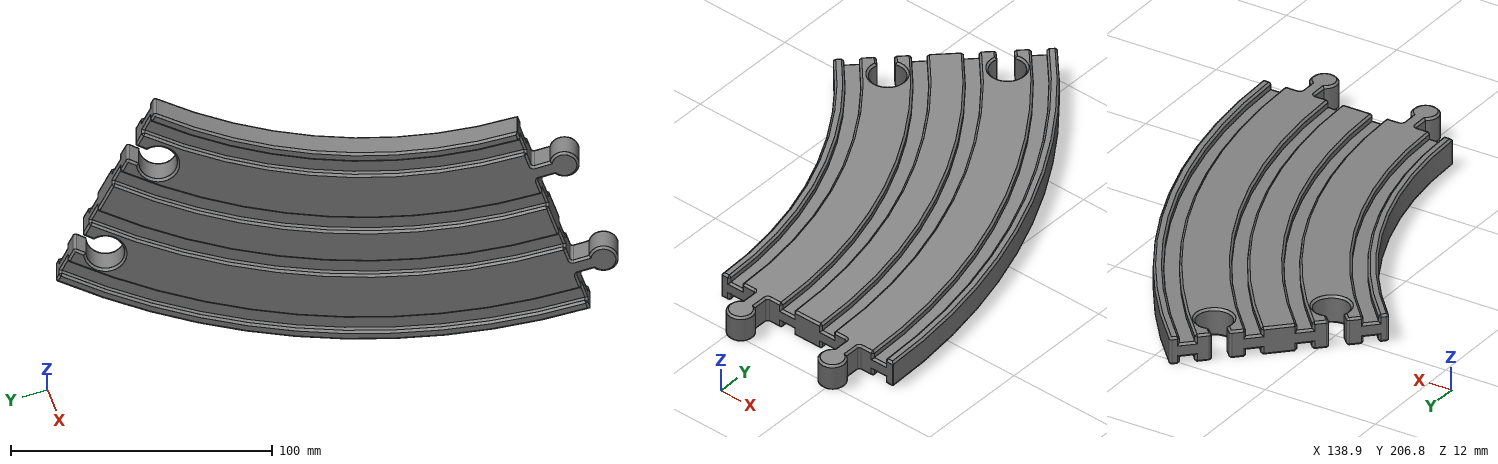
import cadquery as cq
import math

inner_radius = 182.0
lane_width = 40.0
lane_gap = 6.0
sweep_angle = 45.0
height = 12.0

outer_radius = inner_radius + 2 * lane_width + lane_gap
lane_radii = [
    inner_radius + lane_width / 2,
    outer_radius - lane_width / 2,
]

groove_width = 6.0
groove_depth = 3.0
groove_offset = 13.0

peg_reach = 12.1
peg_head_radius = 5.65
peg_neck_width = 6.0

socket_reach = 11.45
socket_hole_radius = 7.4
socket_mouth_width = 7.0

corner_radius = 1.0
edge_chamfer = 0.9
start_corner_chamfer = 0.3

neck_overlap = 1.0
tolerance = 0.001


def ring_sector(small_radius, large_radius, bottom, thickness):
    """Ring sector with a rectangular section, starting on the +X axis."""
    profile = (
        cq.Workplane("XZ")
        .moveTo((small_radius + large_radius) / 2, bottom + thickness / 2)
        .rect(large_radius - small_radius, thickness)
    )
    return profile.revolve(sweep_angle, (0, 0, 0), (0, 1, 0))


def keyhole(lane_radius, reach, head_radius, neck_width):
    """Round head on a straight neck that points along -Y from the face at y = 0."""
    head = cq.Workplane("XY").center(lane_radius, -reach).circle(head_radius).extrude(height)
    neck = (
        cq.Workplane("XY")
        .center(lane_radius, (neck_overlap - reach) / 2)
        .rect(neck_width, reach + neck_overlap)
        .extrude(height)
    )
    return head.union(neck)


def on_start_face(edge):
    return abs(edge.Center().y) < tolerance


def on_far_face(edge):
    center = edge.Center()
    angle = math.radians(sweep_angle)
    distance = center.y * math.cos(angle) - center.x * math.sin(angle)
    return abs(distance) < tolerance


def on_track_side(edge):
    """True for upright edges on the inner or the outer curved wall."""
    center = edge.Center()
    radius = math.hypot(center.x, center.y)
    return min(abs(radius - inner_radius), abs(radius - outer_radius)) < edge_chamfer


def track_body():
    """Plain track with its sockets and pegs."""
    body = ring_sector(inner_radius, outer_radius, 0, height)
    for lane_radius in lane_radii:
        socket = keyhole(lane_radius, socket_reach, socket_hole_radius, socket_mouth_width)
        body = body.cut(socket.rotate((0, 0, 0), (0, 0, 1), sweep_angle))
        body = body.union(keyhole(lane_radius, peg_reach, peg_head_radius, peg_neck_width))
    return body


def round_corners(body):
    """Round every upright corner of the far face and the roots of the peg necks."""
    corners = []
    for edge in body.edges("|Z").vals():
        is_neck_root = on_start_face(edge) and not on_track_side(edge)
        if on_far_face(edge) or is_neck_root:
            corners.append(edge)
    return body.newObject(corners).fillet(corner_radius)


def cut_grooves(body):
    for lane_radius in lane_radii:
        for middle in (lane_radius - groove_offset, lane_radius + groove_offset):
            for bottom in (0, height - groove_depth):
                groove = ring_sector(
                    middle - groove_width / 2,
                    middle + groove_width / 2,
                    bottom,
                    groove_depth,
                )
                body = body.cut(groove)
    return body


def chamfer_rims(body):
    """Chamfer the rims of the top and bottom faces and the ends of the grooves."""
    rims = body.faces(">Z or <Z").edges().vals()
    for edge in body.edges().vals():
        from_middle = abs(edge.Center().z - height / 2)
        in_groove = tolerance < from_middle < height / 2 - tolerance
        if in_groove and (on_start_face(edge) or on_far_face(edge)):
            rims.append(edge)
    return body.newObject(rims).chamfer(edge_chamfer)


def chamfer_start_corners(body):
    corners = [
        edge
        for edge in body.edges("|Z").vals()
        if on_start_face(edge) and on_track_side(edge)
    ]
    return body.newObject(corners).chamfer(start_corner_chamfer)


result = track_body()
result = round_corners(result)
result = cut_grooves(result)
result = chamfer_rims(result)
result = chamfer_start_corners(result)